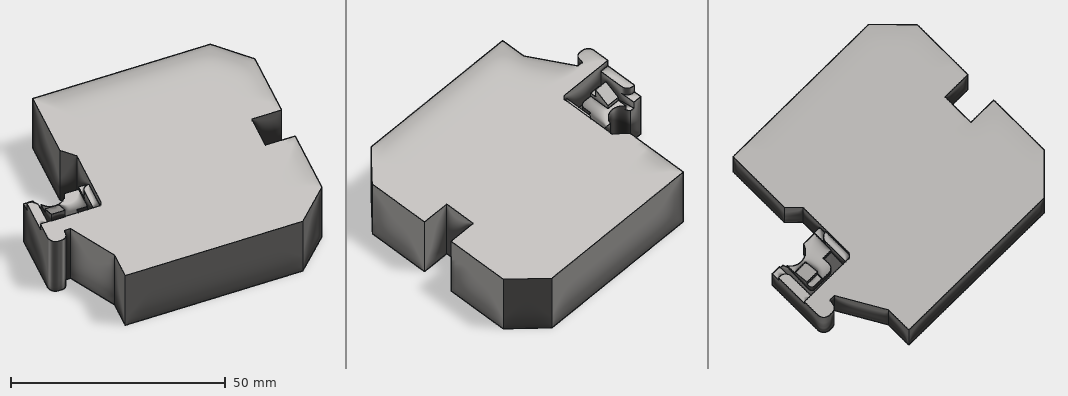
import math

import cadquery as cq


width = 58.0
length = 65.0
thickness = 18.0
body_front = 12.5
back_chamfer = 8.0
back_slot_width = 8.5
back_slot_depth = 7.5

notch_left = 17.0
notch_ramp_end = 20.0
notch_back = 15.55

foot_left = 25.5
foot_waist = 40.0
foot_right = 42.5
ramp_angle = 30.0
waist_back = 6.0
waist_front = 4.5
hook_slope = 10.0
hook_back_radius = 1.5
hook_front_radius = 2.0

recess_right = 36.1
recess_corner_radius = 1.15
floor_left_z = 11.45
floor_slope = 11.0

front_rail_back = 2.4
back_rail_front = 13.8
rail_left = 27.55
rail_top = 16.05
rail_step_top = 13.6
front_rail_radius = 1.9
back_rail_radius = 1.7

plateau_top = 12.75
plateau_front = 3.95
plateau_shoulder = 11.15
plateau_right = 34.55
plateau_neck_right = 31.1
plateau_front_radius = 1.0
plateau_back_radius = 1.5

catch_left = 29.0
catch_right = 33.0
catch_back = 7.45
catch_low_z = 13.85
catch_high_z = 16.3

groove_radius = 3.5
groove_x = 24.6
groove_y = 6.9


def tan_deg(angle):
    return math.tan(math.radians(angle))


def box(x_range, y_range, z_range):
    """Box spanning the given coordinate ranges."""
    size = [end - start for start, end in (x_range, y_range, z_range)]
    corner = (x_range[0], y_range[0], z_range[0])
    return cq.Workplane("XY").box(*size, centered=False).translate(corner)


def xz_prism(points, y_range):
    """Prism with an XZ profile, spanning the given Y range."""
    start, end = y_range
    return cq.Workplane("XZ", origin=(0, start, 0)).polyline(points).close().extrude(start - end)


def fillet_upright_edge(solid, x, y, radius):
    """Round the vertical edge nearest to (x, y)."""
    edge = solid.edges("|Z").edges(cq.selectors.NearestToPointSelector((x, y, thickness / 2)))
    return edge.fillet(radius)


def make_housing():
    slot_left = (width - back_slot_width) / 2
    slot_right = slot_left + back_slot_width
    slot_floor = length - back_slot_depth
    ramp_right = foot_waist + (body_front - waist_back) / tan_deg(ramp_angle)
    hook_back = waist_front - (foot_right - foot_waist) * tan_deg(hook_slope)
    outline = [
        (0, body_front),
        (notch_left, body_front),
        (notch_ramp_end, notch_back),
        (foot_left, notch_back),
        (foot_left, 0),
        (foot_right, 0),
        (foot_right, hook_back),
        (foot_waist, waist_front),
        (foot_waist, waist_back),
        (ramp_right, body_front),
        (width, body_front),
        (width, length - back_chamfer),
        (width - back_chamfer, length),
        (slot_right, length),
        (slot_right, slot_floor),
        (slot_left, slot_floor),
        (slot_left, length),
        (back_chamfer, length),
        (0, length - back_chamfer),
    ]
    housing = cq.Workplane("XY").polyline(outline).close().extrude(thickness)
    housing = fillet_upright_edge(housing, foot_right, 0, hook_front_radius)
    return fillet_upright_edge(housing, foot_right, hook_back, hook_back_radius)


def make_recess():
    floor_right_z = floor_left_z - (recess_right - foot_left) * tan_deg(floor_slope)
    profile = [
        (foot_left, floor_left_z),
        (recess_right, floor_right_z),
        (recess_right, thickness),
        (foot_left, thickness),
    ]
    recess = xz_prism(profile, (0, notch_back))
    return fillet_upright_edge(recess, recess_right, notch_back, recess_corner_radius)


def make_rail(y_range, rounded_y, radius):
    """Rail with a low left end; its upper part is rounded at the left on the side rounded_y."""
    base = box((foot_left, recess_right), y_range, (0, rail_step_top))
    upper = box((rail_left, recess_right), y_range, (0, rail_top))
    upper = fillet_upright_edge(upper, rail_left, rounded_y, radius)
    return base.union(upper)


def make_plateau():
    outline = [
        (foot_left, plateau_front),
        (plateau_right, plateau_front),
        (plateau_right, plateau_shoulder),
        (plateau_neck_right, plateau_shoulder),
        (plateau_neck_right, back_rail_front),
        (foot_left, back_rail_front),
    ]
    plateau = cq.Workplane("XY").polyline(outline).close().extrude(plateau_top)
    plateau = fillet_upright_edge(plateau, plateau_right, plateau_front, plateau_front_radius)
    return fillet_upright_edge(plateau, plateau_right, plateau_shoulder, plateau_back_radius)


def make_catch():
    profile = [
        (catch_left, 0),
        (plateau_right, 0),
        (plateau_right, catch_low_z),
        (catch_right, catch_low_z),
        (catch_right, catch_high_z),
        (catch_left, catch_low_z),
    ]
    catch = xz_prism(profile, (plateau_front, catch_back))
    return fillet_upright_edge(catch, plateau_right, plateau_front, plateau_front_radius)


def make_wire_groove():
    return cq.Workplane("XY").center(groove_x, groove_y).circle(groove_radius).extrude(thickness)


front_rail = make_rail((0, front_rail_back), front_rail_back, front_rail_radius)
back_rail = make_rail((back_rail_front, notch_back), back_rail_front, back_rail_radius)

result = make_housing().cut(make_recess())
for feature in (front_rail, back_rail, make_plateau(), make_catch()):
    result = result.union(feature)
result = result.cut(make_wire_groove())